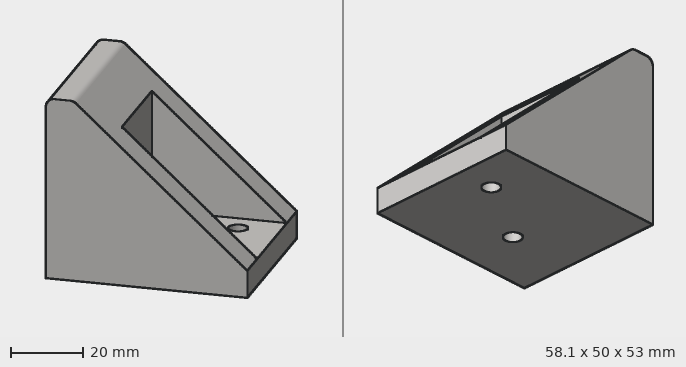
import cadquery as cq
import math

length = 58.0
width = 50.0
height = 53.0
top_land = 8.0
toe_height = 8.0
edge_radius = 2.55

wall_thickness = 19.1
pocket_width = 30.0
floor_thickness = toe_height

wall_hole_diameter = 8.5
wall_hole_height = 22.55
base_hole_diameter = 5.5
base_hole_centers = [(22.3, -7.5), (46.1, 7.5)]

pad_crown = 0.1
pad_half_height = 5.05
pad_arc_radius = 22.45

fuse_tolerance = 0.001


def make_block():
    """Triangular bracket body with both top edges rounded."""
    profile = [
        (0, 0),
        (length, 0),
        (length, toe_height),
        (top_land, height),
        (0, height),
    ]
    block = cq.Workplane("XZ").polyline(profile).close().extrude(width / 2, both=True)
    return block.faces(">Z").edges("|Y").fillet(edge_radius)


def make_pocket():
    """Space above the floor, open at the slope and at the toe."""
    return cq.Workplane("XY").box(
        length - wall_thickness, pocket_width, height - floor_thickness, centered=(False, True, False)
    ).translate((wall_thickness, 0, floor_thickness))


def make_wall_hole():
    return (
        cq.Workplane("YZ")
        .center(0, wall_hole_height)
        .circle(wall_hole_diameter / 2)
        .extrude(length)
    )


def make_base_holes():
    return (
        cq.Workplane("XY")
        .pushPoints(base_hole_centers)
        .circle(base_hole_diameter / 2)
        .extrude(height)
    )


def make_pad():
    """Domed skin that meets the wall face along the whole pad outline."""
    side = width / 2
    low = wall_hole_height - pad_half_height
    high = wall_hole_height + pad_half_height
    arc_end = math.sqrt(pad_arc_radius**2 - pad_half_height**2)
    outline = (
        cq.Workplane("YZ")
        .moveTo(side, low)
        .lineTo(side, high)
        .lineTo(arc_end, high)
        .threePointArc((pad_arc_radius, wall_hole_height), (arc_end, low))
        .close()
        .wire()
        .val()
    )
    peak = cq.Vector(-pad_crown, (side + pad_arc_radius) / 2, wall_hole_height)
    dome = cq.Face.makeNSidedSurface(outline.Edges(), [peak])
    back = cq.Face.makeFromWires(outline)
    return cq.Workplane(cq.Solid.makeSolid(cq.Shell.makeShell([dome, back])))


result = (
    make_block()
    .cut(make_pocket())
    .cut(make_wall_hole())
    .cut(make_base_holes())
    .union(make_pad(), tol=fuse_tolerance)
)